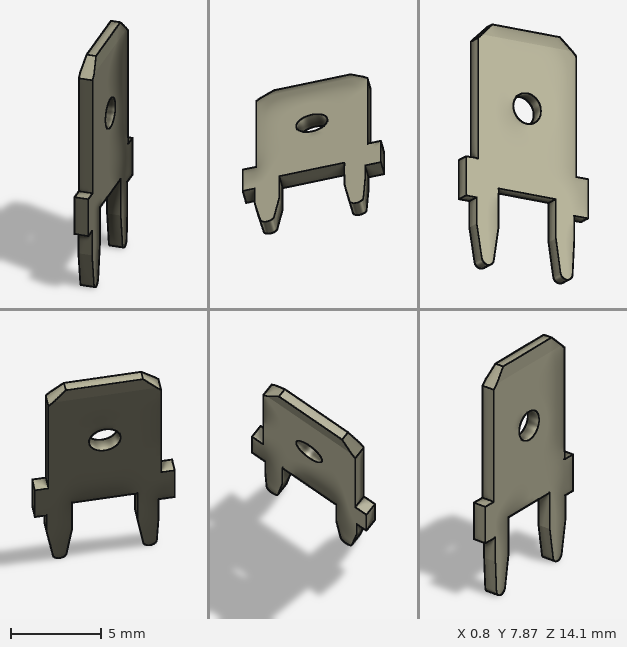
import cadquery as cq
import math

thickness = 0.8
height = 14.1

blade_width = 6.35
corner_chamfer = 1.0
tip_thickness = 0.55
tip_taper_height = 0.75
hole_diameter = 1.78
hole_z = 9.53

shoulder_width = 7.87
shoulder_bottom = 3.8
shoulder_top = 6.09

gap_width = 3.7
gap_top = 4.57
left_leg_outer_y = 3.03
right_leg_outer_y = -3.26
leg_taper_top = 2.28
leg_tip_y = 2.54
leg_tip_radius = 0.4


def profile_plane():
    """YZ workplane on the -X face of the sheet."""
    return cq.Workplane("YZ", origin=(-thickness / 2, 0, 0))


def tip_tangent_point(center_y, start_y):
    """Point where the tapered leg edge starting at start_y touches the round tip."""
    offset_y = start_y - center_y
    offset_z = leg_taper_top - leg_tip_radius
    direction = math.atan2(offset_z, offset_y)
    spread = math.acos(leg_tip_radius / math.hypot(offset_y, offset_z))
    angle = direction - math.copysign(spread, offset_y)
    return (
        center_y + leg_tip_radius * math.cos(angle),
        leg_tip_radius + leg_tip_radius * math.sin(angle),
    )


def make_blade():
    """Upper plate with its two top corners cut off at 45 degrees."""
    blade = (
        profile_plane()
        .center(0, (gap_top + height) / 2)
        .rect(blade_width, height - gap_top)
        .extrude(thickness)
    )
    return blade.faces(">Z").edges("|X").chamfer(corner_chamfer)


def make_shoulders():
    """Left and right shoulder blocks, joined above the gap between the legs."""
    bar = (
        profile_plane()
        .center(0, (shoulder_bottom + shoulder_top) / 2)
        .rect(shoulder_width, shoulder_top - shoulder_bottom)
        .extrude(thickness)
    )
    gap = (
        profile_plane()
        .center(0, gap_top / 2)
        .rect(gap_width, gap_top)
        .extrude(thickness)
    )
    return bar.cut(gap)


def make_leg(inner_y, outer_y, center_y):
    """Straight leg that tapers on both edges into a round tip."""
    return (
        profile_plane()
        .moveTo(inner_y, gap_top)
        .lineTo(inner_y, leg_taper_top)
        .lineTo(*tip_tangent_point(center_y, inner_y))
        .threePointArc((center_y, 0), tip_tangent_point(center_y, outer_y))
        .lineTo(outer_y, leg_taper_top)
        .lineTo(outer_y, gap_top)
        .close()
        .extrude(thickness)
    )


def make_tip_wedge(side):
    """Material removed from one face (side is +1 or -1 along X) to thin the blade tip."""
    return (
        cq.Workplane("XZ")
        .moveTo(side * thickness / 2, height - tip_taper_height)
        .lineTo(side * tip_thickness / 2, height)
        .lineTo(side * thickness / 2, height)
        .close()
        .extrude(blade_width / 2, both=True)
    )


hole = profile_plane().center(0, hole_z).circle(hole_diameter / 2).extrude(thickness)

result = (
    make_blade()
    .union(make_shoulders())
    .union(make_leg(gap_width / 2, left_leg_outer_y, leg_tip_y))
    .union(make_leg(-gap_width / 2, right_leg_outer_y, -leg_tip_y))
    .cut(hole)
)
for side in (1, -1):
    result = result.cut(make_tip_wedge(side))
result = result.clean()